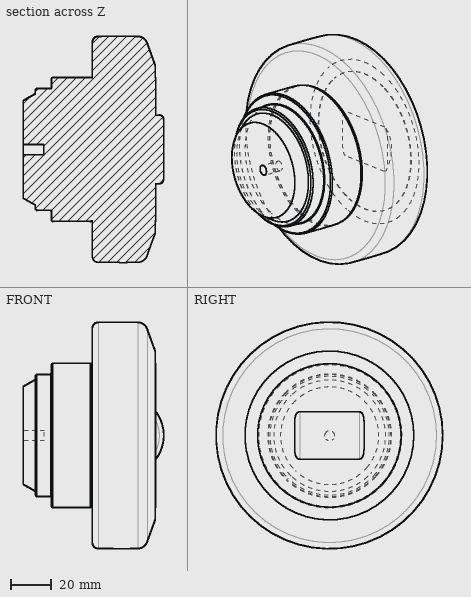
import cadquery as cq

outer_radius = 55.7
overall_length = 69.1

nose_end_radius = 24.1
nose_base_radius = 27.4
pilot_start = 5.9
pilot_radius = 60.0 / 2
pilot_chamfer = 0.8
pilot_root_chamfer = 0.3
shoulder_start = 13.8
shoulder_radius = 71.0 / 2
shoulder_chamfer = 0.7
relief_radius = 70.5 / 2
relief_width = 0.3

rim_crown = 0.1
ring_start = 33.9
ring_back_fillet = 3.0
ring_front_fillet_start = 56.1
ring_cone_start = 60.8
ring_cone_start_radius = 52.5
ring_end = 64.8
ring_end_radius = 41.4
front_fillet_middle = (59.0, 54.7)

cap_height = 0.3

roller_radius = 19.3
roller_length = 34.0
roller_edge_fillet = 2.3

centre_hole_diameter = 4.9
centre_hole_depth = 10.0


def make_turned_body():
    """Revolve the stub, bearing ring and cap as one profile about X."""
    cap_end = ring_end + cap_height
    shoulder_end = ring_start - relief_width
    rim_edge_radius = outer_radius - rim_crown
    rim_start = ring_start + ring_back_fillet
    rim_middle = (rim_start + ring_front_fillet_start) / 2
    profile = (
        cq.Workplane("XY")
        .moveTo(0, 0)
        .lineTo(0, nose_end_radius)
        .lineTo(pilot_start, nose_base_radius)
        .lineTo(pilot_start, pilot_radius - pilot_chamfer)
        .lineTo(pilot_start + pilot_chamfer, pilot_radius)
        .lineTo(shoulder_start - pilot_root_chamfer, pilot_radius)
        .lineTo(shoulder_start, pilot_radius + pilot_root_chamfer)
        .lineTo(shoulder_start, shoulder_radius - shoulder_chamfer)
        .lineTo(shoulder_start + shoulder_chamfer, shoulder_radius)
        .lineTo(shoulder_end - shoulder_chamfer, shoulder_radius)
        .lineTo(shoulder_end, relief_radius)
        .lineTo(ring_start, relief_radius)
        .lineTo(ring_start, rim_edge_radius - ring_back_fillet)
        .radiusArc((rim_start, rim_edge_radius), ring_back_fillet)
        .threePointArc((rim_middle, outer_radius), (ring_front_fillet_start, rim_edge_radius))
        .threePointArc(front_fillet_middle, (ring_cone_start, ring_cone_start_radius))
        .lineTo(ring_end, ring_end_radius)
        .lineTo(ring_end, relief_radius)
        .lineTo(cap_end, relief_radius)
        .lineTo(cap_end, 0)
        .close()
    )
    return profile.revolve(360, (0, 0, 0), (1, 0, 0))


def make_roller():
    """Rounded roller whose crown reaches the far end; its buried part joins the ring."""
    return (
        cq.Workplane("XZ", origin=(overall_length - roller_radius, 0, 0))
        .circle(roller_radius)
        .extrude(roller_length / 2, both=True)
        .edges()
        .fillet(roller_edge_fillet)
    )


def make_centre_hole():
    return cq.Workplane("YZ").circle(centre_hole_diameter / 2).extrude(centre_hole_depth)


result = make_turned_body().union(make_roller()).cut(make_centre_hole())